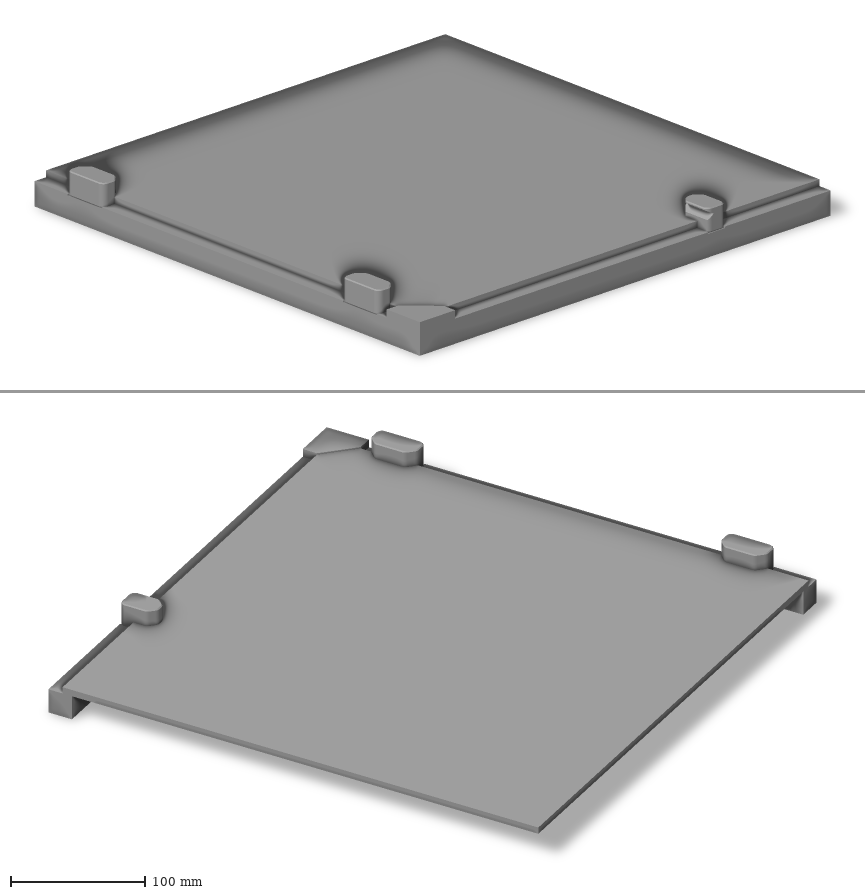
import cadquery as cq

SIDE = 420.0
TOTAL_HEIGHT = 39.0

RAIL = 20.0
LEDGE = 12.0
PANEL_THICKNESS = 5.5
PANEL_TOP = RAIL + PANEL_THICKNESS
CORNER_LENGTH = 36.0
CORNER_STEP = 1.3
CORNER_TOP = PANEL_TOP + CORNER_STEP

RIM_CHAMFER = 1.0
EDGE_RADIUS = 5.0
FOOT_DEPTH = 1.3
FOOT_INSET = 1.3

FRONT_CLIP_WIDTH = 40.0
FRONT_CLIP_DEPTH = 19.7
FRONT_INNER_CHAMFER = 7.0
FRONT_CLIP_XS = (55.0, 355.0)

SIDE_CLIP_WIDTH = 19.7
SIDE_CLIP_DEPTH = 30.0
SIDE_INNER_CHAMFER = 6.5
SIDE_CLIP_Y = 303.5

GROOVE_DEPTH = 6.7
GROOVE_TOP = 37.5
GROOVE_APEX = 33.5
GROOVE_BOTTOM = 29.5
LOWER_FLANK_INSET = 1.5

PIN_SETBACK = 10.0
SLEEVE_DIAMETER = 6.0
PIN_DIAMETER = 3.2


def box_between(x0, x1, y0, y1, z0, z1):
    """Axis-aligned box between two opposite corners."""
    return cq.Workplane("XY").box(x1 - x0, y1 - y0, z1 - z0, centered=False).translate((x0, y0, z0))


def upright_cylinder(diameter):
    """Cylinder from the panel to the top of a clip, on the pin axis of the station at X = 0."""
    height = TOTAL_HEIGHT - PANEL_TOP
    return cq.Workplane("XY").circle(diameter / 2).extrude(height).translate((0, PIN_SETBACK, PANEL_TOP))


def at_front(shape, x):
    """Move a shape from X = 0 along the front edge."""
    return shape.translate((x, 0, 0))


def at_side(shape):
    """Turn a shape from the front edge to its place on the right edge."""
    return shape.rotate((0, 0, 0), (0, 0, 1), 90).translate((SIDE, SIDE_CLIP_Y, 0))


def at_all_stations(shape):
    """Copies of a shape at the two front stations and at the side station."""
    return [at_front(shape, x) for x in FRONT_CLIP_XS] + [at_side(shape)]


def foot_block(clip_width, outer_gap):
    """Flat block let into the rail under a clip at X = 0, with a gap to the edge of the board."""
    half = clip_width / 2 - FOOT_INSET
    return box_between(-half, half, outer_gap, LEDGE, RAIL - FOOT_DEPTH, RAIL)


def make_clip(width, depth, inner_chamfer):
    """Clip at the front edge, centred on X = 0, with a hole for its sleeve."""
    clip = box_between(-width / 2, width / 2, 0, depth, RAIL, TOTAL_HEIGHT)
    clip = clip.edges("|Z and >Y").chamfer(inner_chamfer)
    clip = clip.edges("|Z").fillet(EDGE_RADIUS)
    clip = clip.faces(">Z").edges().chamfer(RIM_CHAMFER)

    panel_step = box_between(-width / 2, width / 2, LEDGE, depth, RAIL, PANEL_TOP)
    foot = foot_block(width, FOOT_INSET)
    return clip.cut(panel_step).union(foot).cut(upright_cylinder(SLEEVE_DIAMETER))


def make_front_clips():
    clip = make_clip(FRONT_CLIP_WIDTH, FRONT_CLIP_DEPTH, FRONT_INNER_CHAMFER)
    return [at_front(clip, x) for x in FRONT_CLIP_XS]


def make_side_clip():
    clip = at_side(make_clip(SIDE_CLIP_WIDTH, SIDE_CLIP_DEPTH, SIDE_INNER_CHAMFER))
    flank_y = SIDE_CLIP_Y - SIDE_CLIP_WIDTH / 2
    groove = (
        cq.Workplane("YZ").workplane(offset=SIDE - SIDE_CLIP_DEPTH)
        .moveTo(flank_y, GROOVE_TOP)
        .lineTo(flank_y + GROOVE_DEPTH, GROOVE_APEX)
        .lineTo(flank_y + LOWER_FLANK_INSET, GROOVE_BOTTOM)
        .lineTo(flank_y + LOWER_FLANK_INSET, RAIL)
        .lineTo(flank_y, RAIL)
        .close()
        .extrude(SIDE_CLIP_DEPTH)
    )
    return clip.cut(groove)


def make_board():
    front_rail = box_between(0, SIDE, 0, RAIL, 0, RAIL)
    side_rail = box_between(SIDE - RAIL, SIDE, 0, SIDE, 0, RAIL)
    panel = box_between(0, SIDE - LEDGE, LEDGE, SIDE, RAIL, PANEL_TOP)
    corner = (
        cq.Workplane("XY").workplane(offset=RAIL)
        .moveTo(SIDE - CORNER_LENGTH, 0)
        .lineTo(SIDE, 0)
        .lineTo(SIDE, CORNER_LENGTH)
        .lineTo(SIDE - LEDGE, CORNER_LENGTH)
        .lineTo(SIDE - CORNER_LENGTH, LEDGE)
        .close()
        .extrude(CORNER_TOP - RAIL)
    )
    board = front_rail.union(side_rail).union(panel).union(corner)

    for x in FRONT_CLIP_XS:
        board = board.cut(at_front(foot_block(FRONT_CLIP_WIDTH, 0), x))
    return board.cut(at_side(foot_block(SIDE_CLIP_WIDTH, 0)))


def make_pins():
    return at_all_stations(upright_cylinder(PIN_DIAMETER))


def make_sleeves():
    return at_all_stations(upright_cylinder(SLEEVE_DIAMETER).cut(upright_cylinder(PIN_DIAMETER)))


board = make_board()
front_clips = make_front_clips()
side_clip = make_side_clip()
sleeves = make_sleeves()
pins = make_pins()

bodies = [board, *front_clips, side_clip, *sleeves, *pins]
result = cq.Compound.makeCompound([body.solids().val() for body in bodies])